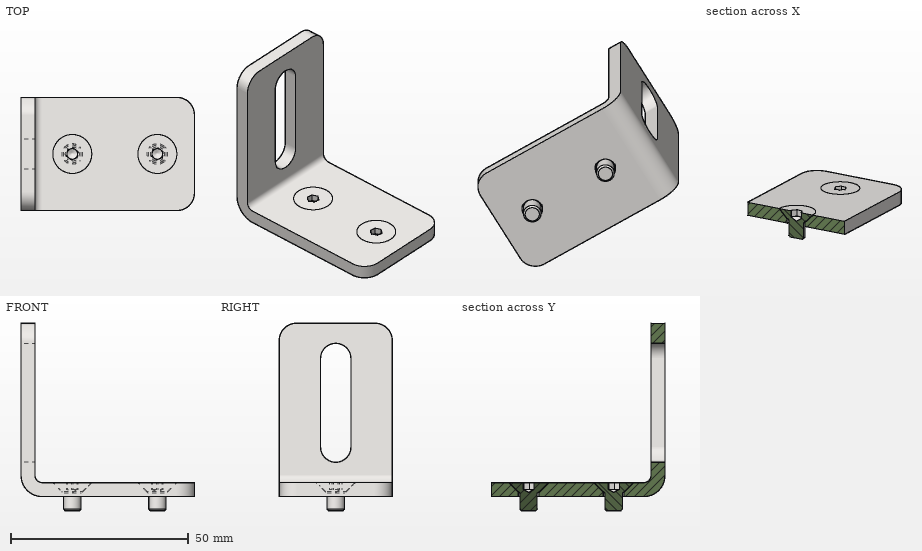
import cadquery as cq
import math

leg_length = 49.0
width = 32.0
thickness = 4.0
inner_bend_radius = 2.0
outer_bend_radius = inner_bend_radius + thickness
corner_radius = 5.0

slot_width = 8.5
slot_length = 33.5
slot_center_z = 26.5

screw_spacing = 24.0
first_screw_x = 14.5
screw_positions = [first_screw_x, first_screw_x + screw_spacing]
shank_diameter = 5.0
shank_radius = shank_diameter / 2
head_diameter = 11.0
head_radius = head_diameter / 2
head_cone_height = head_radius - shank_radius
screw_projection = 4.0
tip_chamfer = 0.5
clearance_radius = 5.8 / 2

socket_across_flats = 3.0
socket_across_corners = socket_across_flats / math.cos(math.pi / 6)
socket_depth = 1.9
socket_point_angle = math.radians(60)
socket_point_depth = socket_across_flats / 2 / math.tan(socket_point_angle)
socket_rotation = 22.5


def screw_envelope(x):
    """Solid of revolution of one screw, without its socket."""
    tip_z = -screw_projection
    profile = (
        cq.Workplane("XZ")
        .moveTo(0, tip_z)
        .lineTo(shank_radius - tip_chamfer, tip_z)
        .lineTo(shank_radius, tip_z + tip_chamfer)
        .lineTo(shank_radius, thickness - head_cone_height)
        .lineTo(head_radius, thickness)
        .lineTo(0, thickness)
        .close()
    )
    return profile.revolve(360, (0, 0, 0), (0, 1, 0)).translate((x, 0, 0))


def make_screw(x):
    """Countersunk screw with a hexagon socket that ends in a conical floor."""
    hexagon = (
        cq.Workplane("XY")
        .polygon(6, socket_across_corners)
        .extrude(-socket_depth)
        .rotate((0, 0, 0), (0, 0, 1), socket_rotation)
    )
    floor_cone = cq.Workplane(
        cq.Solid.makeCone(
            socket_across_flats / 2,
            0,
            socket_point_depth,
            pnt=cq.Vector(0, 0, -socket_depth),
            dir=cq.Vector(0, 0, -1),
        )
    )
    socket = hexagon.union(floor_cone).translate((x, 0, thickness))
    return screw_envelope(x).cut(socket)


def make_bracket():
    """Bent L-shaped plate with rounded free corners, a slot and two screw holes."""
    plate = (
        cq.Workplane("XZ")
        .polyline(
            [
                (0, 0),
                (leg_length, 0),
                (leg_length, thickness),
                (thickness, thickness),
                (thickness, leg_length),
                (0, leg_length),
            ]
        )
        .close()
        .extrude(width / 2, both=True)
    )
    inner_bend = cq.selectors.NearestToPointSelector((thickness, 0, thickness))
    outer_bend = cq.selectors.NearestToPointSelector((0, 0, 0))
    plate = plate.edges("|Y").edges(inner_bend).fillet(inner_bend_radius)
    plate = plate.edges("|Y").edges(outer_bend).fillet(outer_bend_radius)
    plate = plate.faces(">X").edges("|Z").fillet(corner_radius)
    plate = plate.faces(">Z").edges("|X").fillet(corner_radius)

    slot = (
        cq.Workplane("YZ")
        .center(0, slot_center_z)
        .slot2D(slot_length, slot_width, 90)
        .extrude(thickness)
    )
    plate = plate.cut(slot)
    for x in screw_positions:
        clearance_hole = cq.Workplane("XY").center(x, 0).circle(clearance_radius).extrude(thickness)
        plate = plate.cut(clearance_hole).cut(screw_envelope(x))
    return plate


bracket = make_bracket()
screws = [make_screw(x) for x in screw_positions]

result = cq.Compound.makeCompound([bracket.val(), *[screw.val() for screw in screws]])